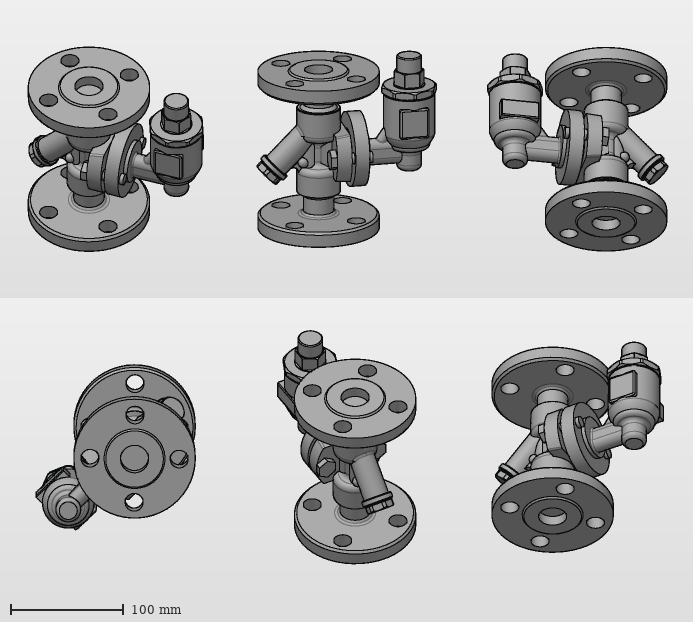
import cadquery as cq
import math

RUN_HEIGHT = 150.2
FLANGE_DIA = 108.0
FLANGE_TOP = 15.1
FLANGE_CHAMFER = 2.1
RAISED_FACE_DIA = 54.0
RAISED_FACE_TIP_DIA = 51.1
RAISED_FACE_HEIGHT = 1.6
BORE_DIA = 25.0
BORE_DEPTH = 9.8
BOLT_HOLE_DIA = 16.0
BOLT_HOLE_SPACING = 56.0
PIPE_DIA = 27.2
WELD_DIA = 36.5
WELD_SLOPE_DIA = 31.0
WELD_SLOPE_Z = 16.0
WELD_TOP = 17.9

OUTLET_Z = 73.3
BODY_DIA = 39.0
BODY_BOTTOM = 35.5
BODY_TOP = 114.8
BODY_EDGE_CHAMFER = 0.7
BODY_CONE_DIA = 33.2
BODY_CONE_HEIGHT = 3.3
WAIST_DIA = 21.0
WAIST_HALF_HEIGHT = 6.7
LOBE_X = -7.5
LOBE_DIA = 18.2
SHOULDER_DIA = 29.3
SHOULDER_HALF_HEIGHT = 12.4
BODY_STRAIGHT_HALF_HEIGHT = 18.7

STRAINER_AXIS_Z = 101.8
STRAINER_ANGLE = 45
STRAINER_DIA = 23.0
STRAINER_LENGTH = 54.7
STRAINER_ROOT_FILLET = 4.0
COLLAR_DIA = 27.9
COLLAR_END = 60.3
COLLAR_CHAMFER = 0.8
PLUG_NECK_DIA = 22.0
PLUG_START = 61.2
PLUG_END = 67.3
PLUG_FLATS = 23.0
PLUG_TURNED_DIA = 24.8
PLUG_END_DIA = 23.0
PLUG_CHAMFER = 0.8
BALL_X = -15.3
BALL_Z = 65.5
BALL_DIA = 9.1
BALL_TIP_Y = 10.6
WEB_LEFT_X = -25.9
WEB_LEFT_Z = 60.5
WEB_RIGHT_X = -19.0
WEB_RIGHT_Z = 56.2
WEB_ARC_X = -21.2
WEB_ARC_Z = 60.1

DISC_DIA = 67.0
PLATE_START = 9.8
PLATE_END = 23.1
PLATE_HALF_HEIGHT = 20.7
PLATE_DRAFT_RISE = 1.5
PLATE_CORNER_FILLET = 2.5
DISC_START = 26.4
DISC_END = 39.3
JOINT_DIA = 38.0
JOINT_END = 42.8
BOLT_DIA = 10.0
BOLT_SPACING = 51.1
BOLT_HEAD_START = 4.2
BOLT_HEAD_FLATS = 16.0

OUTLET_PIPE_WIDTH = 15.0
OUTLET_PIPE_HEIGHT = 24.0
OUTLET_PIPE_Z = 69.0
OUTLET_PIPE_FILLET = 1.5
STRUT_DIA = 10.5
STRUT_X = 57.2
STRUT_Z = 78.7
STRUT_ANGLE = 55
STRUT_BACK = 5.7
STRUT_FORWARD = 22.8
STRUT_FILLET = 1.1
SELECTION_MARGIN = 0.2

TRAP_X = 82.4
TRAP_DIA = 46.0
TRAP_CYLINDER_BOTTOM = 84.5
TRAP_CYLINDER_TOP = 121.7
TRAP_NECK_DIA = 44.0
NUB_DIA = 22.0
NUB_BOTTOM_DIA = 16.0
NUB_BOTTOM = 51.0
NUB_ROUND_TOP = 56.7
NUB_TOP = 66.5
BOWL_DIA = 37.1
BOWL_Z = 75.7
BOWL_LOWER_DIA = 29.3
BOWL_LOWER_Z = 70.7
BOWL_UPPER_DIA = 41.4
BOWL_UPPER_Z = 79.0
COVER_BOTTOM = 122.5
COVER_TOP = 129.8
COVER_FLATS = 46.6
COVER_TURNED_DIA = 49.5
COVER_END_DIA = 45.6
COVER_CHAMFER = 1.5
CAP_COLLAR_DIA = 27.9
CAP_COLLAR_HEIGHT = 0.7
CAP_TOP = 143.5
CAP_FLATS = 24.0
CAP_TURNED_DIA = 27.4
CAP_CHAMFER = 0.7
STEM_DIA = 22.0
STEM_TOP = 157.5
STEM_CHAMFER = 1.0

PAD_Z = 100.2
PAD_FRONT_Y = 23.3
PAD_WIDTH = 26.4
PAD_HEIGHT = 27.7
PAD_CORNER = 2.5
PAD_BEVEL_WIDTH = 1.8
PAD_BEVEL_DEPTH = 0.8
BACK_PAD_WIDTH = 34.2
BACK_PAD_Y = 24.3
BACK_PAD_BOTTOM = 86.3
BACK_PAD_TOP = 102.6
BACK_PAD_BEVEL = 1.0


def quarter_point(start, end, corner):
    """Middle point of a quarter ellipse from start to end that heads for the given corner."""
    reach = math.sqrt(0.5)
    centre = [a + b - c for a, b, c in zip(start, end, corner)]
    return tuple(m + (c - m) * reach for m, c in zip(centre, corner))


def cylinder_x(diameter, start, end, y=0, z=OUTLET_Z):
    """Cylinder along +X between two X positions."""
    plane = cq.Workplane("YZ", origin=(start, y, z))
    return plane.circle(diameter / 2).extrude(end - start)


def turned_prism(sides, flats, start, end, turned_dia, end_dia, chamfer, both_ends):
    """Polygon prism along Z with a vertex on X, its corners turned down and its ends chamfered."""
    corners = flats / math.cos(math.pi / sides)
    prism = cq.Workplane("XY", origin=(0, 0, start)).polygon(sides, corners).extrude(end - start)
    outer = turned_dia / 2
    first_radius = end_dia / 2 if both_ends else outer
    envelope = (
        cq.Workplane("XZ")
        .moveTo(0, start)
        .lineTo(first_radius, start)
        .lineTo(outer, start + chamfer)
        .lineTo(outer, end - chamfer)
        .lineTo(end_dia / 2, end)
        .lineTo(0, end)
        .close()
        .revolve(360, (0, 0, 0), (0, 1, 0))
    )
    return prism.intersect(envelope)


def make_flange():
    """Lower pipe flange with raised face, weld collar, bolt holes and blind bore."""
    flange_radius = FLANGE_DIA / 2
    weld_edge = (WELD_DIA / 2, FLANGE_TOP)
    slope_start = (WELD_SLOPE_DIA / 2, WELD_SLOPE_Z)
    flange = (
        cq.Workplane("XZ")
        .moveTo(0, 0)
        .lineTo(RAISED_FACE_TIP_DIA / 2, 0)
        .lineTo(RAISED_FACE_DIA / 2, RAISED_FACE_HEIGHT)
        .lineTo(flange_radius, RAISED_FACE_HEIGHT)
        .lineTo(flange_radius, FLANGE_TOP - FLANGE_CHAMFER)
        .lineTo(flange_radius - FLANGE_CHAMFER, FLANGE_TOP)
        .lineTo(*weld_edge)
        .tangentArcPoint(slope_start, relative=False)
        .lineTo(PIPE_DIA / 2, WELD_TOP)
        .lineTo(0, WELD_TOP)
        .close()
        .revolve(360, (0, 0, 0), (0, 1, 0))
    )
    holes = (
        cq.Workplane("XY")
        .rect(BOLT_HOLE_SPACING, BOLT_HOLE_SPACING, forConstruction=True)
        .vertices()
        .circle(BOLT_HOLE_DIA / 2)
        .extrude(FLANGE_TOP)
    )
    bore = cq.Workplane("XY").circle(BORE_DIA / 2).extrude(BORE_DEPTH)
    return flange.cut(holes).cut(bore)


def make_body():
    """Pipe between the flanges and the waisted casting around it."""
    pipe_r = PIPE_DIA / 2
    body_r = BODY_DIA / 2
    edge_r = body_r - BODY_EDGE_CHAMFER
    waist_r = WAIST_DIA / 2
    shoulder_r = SHOULDER_DIA / 2

    def blend(side):
        """Straight, shoulder and waist points and the arc middles below (-1) or above (1) the outlet."""
        straight = (body_r, OUTLET_Z + side * BODY_STRAIGHT_HALF_HEIGHT)
        shoulder = (shoulder_r, OUTLET_Z + side * SHOULDER_HALF_HEIGHT)
        waist = (waist_r, OUTLET_Z + side * WAIST_HALF_HEIGHT)
        convex = quarter_point(straight, shoulder, (straight[0], shoulder[1]))
        concave = quarter_point(shoulder, waist, (waist[0], shoulder[1]))
        return straight, convex, shoulder, concave, waist

    low_straight, low_convex, low_shoulder, low_concave, low_waist = blend(-1)
    top_straight, top_convex, top_shoulder, top_concave, top_waist = blend(1)
    return (
        cq.Workplane("XZ")
        .moveTo(0, FLANGE_TOP)
        .lineTo(pipe_r, FLANGE_TOP)
        .lineTo(pipe_r, BODY_BOTTOM - BODY_CONE_HEIGHT)
        .lineTo(BODY_CONE_DIA / 2, BODY_BOTTOM)
        .lineTo(edge_r, BODY_BOTTOM)
        .lineTo(body_r, BODY_BOTTOM + BODY_EDGE_CHAMFER)
        .lineTo(*low_straight)
        .threePointArc(low_convex, low_shoulder)
        .threePointArc(low_concave, low_waist)
        .lineTo(*top_waist)
        .threePointArc(top_concave, top_shoulder)
        .threePointArc(top_convex, top_straight)
        .lineTo(body_r, BODY_TOP - BODY_EDGE_CHAMFER)
        .lineTo(edge_r, BODY_TOP)
        .lineTo(BODY_CONE_DIA / 2, BODY_TOP)
        .lineTo(pipe_r, BODY_TOP + BODY_CONE_HEIGHT)
        .lineTo(pipe_r, RUN_HEIGHT - FLANGE_TOP)
        .lineTo(0, RUN_HEIGHT - FLANGE_TOP)
        .close()
        .revolve(360, (0, 0, 0), (0, 1, 0))
    )


def make_waist_bridge():
    """Block from the waist to the outlet plate and round lobe from the waist to the strainer."""
    block = (
        cq.Workplane("XY", origin=(PLATE_START / 2, 0, OUTLET_Z))
        .rect(PLATE_START, WAIST_DIA)
        .extrude(SHOULDER_HALF_HEIGHT, both=True)
    )
    lobe = (
        cq.Workplane("XY", origin=(LOBE_X, 0, OUTLET_Z))
        .circle(LOBE_DIA / 2)
        .extrude(BODY_STRAIGHT_HALF_HEIGHT, both=True)
    )
    return block.union(lobe)


def place_on_branch(shape):
    """Move a shape built along +Z onto the strainer axis."""
    tilted = shape.rotate((0, 0, 0), (0, 1, 0), 180 + STRAINER_ANGLE)
    return tilted.translate((0, 0, STRAINER_AXIS_Z))


def make_strainer_tube():
    """Plain tube of the strainer branch."""
    return place_on_branch(cq.Workplane("XY").circle(STRAINER_DIA / 2).extrude(STRAINER_LENGTH))


def make_strainer_root():
    """Filleted joint of the strainer tube with the straight upper part of the body."""
    sleeve = (
        cq.Workplane("XY", origin=(0, 0, OUTLET_Z + SHOULDER_HALF_HEIGHT))
        .circle(BODY_DIA / 2)
        .extrude(BODY_TOP - BODY_EDGE_CHAMFER - OUTLET_Z - SHOULDER_HALF_HEIGHT)
    )
    joined = sleeve.union(make_strainer_tube())
    filleted = joined.edges("%BSPLINE").fillet(STRAINER_ROOT_FILLET)
    straight_part = (
        cq.Workplane("XY", origin=(0, 0, OUTLET_Z + BODY_STRAIGHT_HALF_HEIGHT))
        .rect(2 * BODY_DIA, 2 * BODY_DIA)
        .extrude(BODY_TOP - OUTLET_Z)
    )
    return filleted.intersect(straight_part)


def make_strainer_plug():
    """Collar, neck and hexagon plug closing the strainer tube."""
    collar = (
        cq.Workplane("XY", origin=(0, 0, STRAINER_LENGTH))
        .circle(COLLAR_DIA / 2)
        .extrude(COLLAR_END - STRAINER_LENGTH)
        .faces("<Z or >Z")
        .edges()
        .chamfer(COLLAR_CHAMFER)
    )
    neck = (
        cq.Workplane("XY", origin=(0, 0, COLLAR_END))
        .circle(PLUG_NECK_DIA / 2)
        .extrude(PLUG_START - COLLAR_END)
    )
    plug = turned_prism(
        6, PLUG_FLATS, PLUG_START, PLUG_END, PLUG_TURNED_DIA, PLUG_END_DIA, PLUG_CHAMFER, False
    )
    return place_on_branch(collar.union(neck).union(plug))


def make_strainer_web():
    """Web in the corner between the strainer and the body, with a ball-ended boss."""
    web = (
        cq.Workplane("XZ")
        .moveTo(WEB_LEFT_X, WEB_LEFT_Z)
        .threePointArc((WEB_ARC_X, WEB_ARC_Z), (WEB_RIGHT_X, WEB_RIGHT_Z))
        .lineTo(BALL_X, WEB_RIGHT_Z)
        .lineTo(BALL_X, BALL_Z + BALL_DIA / 2)
        .close()
        .extrude(BALL_DIA / 2, both=True)
    )
    straight = BALL_TIP_Y - BALL_DIA / 2
    boss = (
        cq.Workplane("XZ", origin=(BALL_X, 0, BALL_Z))
        .circle(BALL_DIA / 2)
        .extrude(straight, both=True)
    )
    for side in (-1, 1):
        ball = cq.Workplane("XY").sphere(BALL_DIA / 2)
        boss = boss.union(ball.translate((BALL_X, side * straight, BALL_Z)))
    return web.union(boss)


def make_outlet_flanges():
    """Flat-sided body plate, round mating disc, the joint between them and two bolts."""
    low = PLATE_HALF_HEIGHT
    high = PLATE_HALF_HEIGHT + PLATE_DRAFT_RISE
    drafted_block = (
        cq.Workplane("XZ")
        .polyline(
            [
                (PLATE_START, OUTLET_Z - low),
                (PLATE_END, OUTLET_Z - high),
                (PLATE_END, OUTLET_Z + high),
                (PLATE_START, OUTLET_Z + low),
            ]
        )
        .close()
        .extrude(DISC_DIA / 2, both=True)
    )
    plate = cylinder_x(DISC_DIA, PLATE_START, PLATE_END).intersect(drafted_block)
    corners = plate.edges("not(<X or >X)").edges("not #X")
    flanges = corners.fillet(PLATE_CORNER_FILLET)
    flanges = flanges.union(cylinder_x(JOINT_DIA, PLATE_START, DISC_END))
    flanges = flanges.union(cylinder_x(DISC_DIA, DISC_START, DISC_END))
    head = (
        cq.Workplane("YZ", origin=(BOLT_HEAD_START, 0, OUTLET_Z))
        .polygon(6, BOLT_HEAD_FLATS / math.cos(math.pi / 6))
        .extrude(PLATE_START - BOLT_HEAD_START)
        .rotate((0, 0, OUTLET_Z), (1, 0, OUTLET_Z), 90)
    )
    for y in (-BOLT_SPACING / 2, BOLT_SPACING / 2):
        flanges = flanges.union(head.translate((0, y, 0)))
        flanges = flanges.union(cylinder_x(BOLT_DIA, PLATE_START, JOINT_END, y))
    return flanges


def make_outlet_pipe():
    """Outer joint face and obround pipe to the trap axis, with a diagonal strut on its top."""
    joint = cylinder_x(JOINT_DIA, DISC_END, JOINT_END)
    pipe = (
        cq.Workplane("YZ", origin=(JOINT_END, 0, OUTLET_PIPE_Z))
        .slot2D(OUTLET_PIPE_HEIGHT, OUTLET_PIPE_WIDTH, 90)
        .extrude(TRAP_X - JOINT_END)
    )
    strut = (
        cq.Workplane("XY", origin=(0, 0, -STRUT_BACK))
        .circle(STRUT_DIA / 2)
        .extrude(STRUT_BACK + STRUT_FORWARD)
        .rotate((0, 0, 0), (0, 1, 0), 90 - STRUT_ANGLE)
        .translate((STRUT_X, 0, STRUT_Z))
    )
    reach_z = OUTLET_PIPE_HEIGHT / 2 + SELECTION_MARGIN
    pipe_root = cq.selectors.BoxSelector(
        (JOINT_END - SELECTION_MARGIN, -OUTLET_PIPE_WIDTH, OUTLET_PIPE_Z - reach_z),
        (JOINT_END + SELECTION_MARGIN, OUTLET_PIPE_WIDTH, OUTLET_PIPE_Z + reach_z),
        boundingbox=True,
    )
    pipe = joint.union(pipe).edges(pipe_root).fillet(OUTLET_PIPE_FILLET)
    return pipe.union(strut).edges("%BSPLINE").fillet(STRUT_FILLET)


def make_trap():
    """Bowl, cover nut, cap nut and stem, built about the Z axis and moved to the trap axis."""
    nub_r = NUB_DIA / 2
    nub_floor_edge = (NUB_BOTTOM_DIA / 2, NUB_BOTTOM)
    nub_side = (nub_r, NUB_ROUND_TOP)
    nub_root = (nub_r, NUB_TOP)
    bowl_lower = (BOWL_LOWER_DIA / 2, BOWL_LOWER_Z)
    bowl_widest = (BOWL_DIA / 2, BOWL_Z)
    bowl_upper = (BOWL_UPPER_DIA / 2, BOWL_UPPER_Z)
    bowl = (
        cq.Workplane("XZ")
        .moveTo(0, NUB_BOTTOM)
        .lineTo(*nub_floor_edge)
        .threePointArc(quarter_point(nub_floor_edge, nub_side, (nub_r, NUB_BOTTOM)), nub_side)
        .lineTo(*nub_root)
        .threePointArc(quarter_point(nub_root, bowl_lower, (nub_r, BOWL_LOWER_Z)), bowl_lower)
        .threePointArc(
            quarter_point(bowl_lower, bowl_widest, (bowl_widest[0], BOWL_LOWER_Z)), bowl_widest
        )
        .threePointArc(bowl_upper, (TRAP_DIA / 2, TRAP_CYLINDER_BOTTOM))
        .lineTo(TRAP_DIA / 2, TRAP_CYLINDER_TOP)
        .lineTo(TRAP_NECK_DIA / 2, TRAP_CYLINDER_TOP)
        .lineTo(TRAP_NECK_DIA / 2, COVER_BOTTOM)
        .lineTo(0, COVER_BOTTOM)
        .close()
        .revolve(360, (0, 0, 0), (0, 1, 0))
    )
    cover = turned_prism(
        8, COVER_FLATS, COVER_BOTTOM, COVER_TOP, COVER_TURNED_DIA, COVER_END_DIA, COVER_CHAMFER, True
    )
    cap = turned_prism(6, CAP_FLATS, COVER_TOP, CAP_TOP, CAP_TURNED_DIA, CAP_FLATS, CAP_CHAMFER, False)
    stem = (
        cq.Workplane("XY", origin=(0, 0, CAP_TOP))
        .circle(STEM_DIA / 2)
        .extrude(STEM_TOP - CAP_TOP)
        .faces(">Z")
        .chamfer(STEM_CHAMFER)
    )
    cap_collar = (
        cq.Workplane("XY", origin=(0, 0, COVER_TOP))
        .circle(CAP_COLLAR_DIA / 2)
        .extrude(CAP_COLLAR_HEIGHT)
    )
    trap = bowl.union(cover).union(cap_collar).union(cap).union(stem)
    return trap.union(make_front_pad()).union(make_back_pad()).translate((TRAP_X, 0, 0))


def make_front_pad():
    """Square pad with rounded corners and a bevelled face on the -Y side of the bowl."""
    pad = (
        cq.Workplane("XZ", origin=(0, 0, PAD_Z))
        .rect(PAD_WIDTH, PAD_HEIGHT)
        .extrude(PAD_FRONT_Y)
        .edges("|Y")
        .fillet(PAD_CORNER)
    )
    return pad.faces("<Y").chamfer(PAD_BEVEL_DEPTH, PAD_BEVEL_WIDTH)


def make_back_pad():
    """Bevelled plate on the +Y side of the bowl."""
    pad = (
        cq.Workplane("XY", origin=(0, BACK_PAD_Y / 2, BACK_PAD_BOTTOM))
        .rect(BACK_PAD_WIDTH, BACK_PAD_Y)
        .extrude(BACK_PAD_TOP - BACK_PAD_BOTTOM)
    )
    return pad.faces(">Y").chamfer(BACK_PAD_BEVEL)


lower_flange = make_flange()
upper_flange = lower_flange.mirror("XY").translate((0, 0, RUN_HEIGHT))
result = (
    make_body()
    .union(make_waist_bridge())
    .union(make_strainer_tube())
    .union(make_strainer_root())
    .union(make_strainer_web())
    .union(make_strainer_plug())
    .union(make_outlet_flanges())
    .union(make_outlet_pipe())
    .union(make_trap())
    .union(lower_flange)
    .union(upper_flange)
)